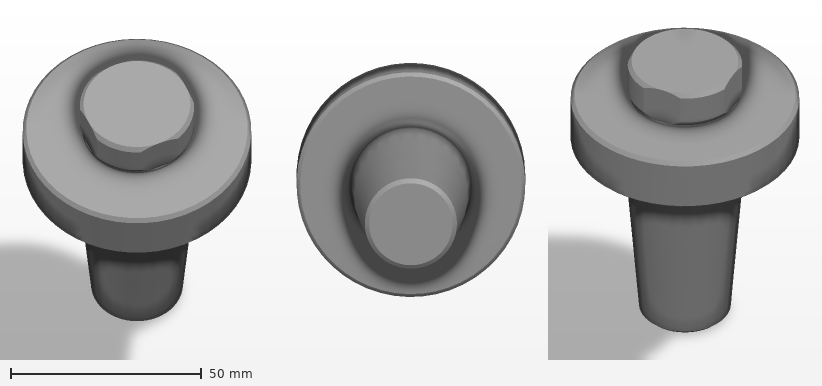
import cadquery as cq

flange_diameter = 60.0
flange_thickness = 15.0
flange_chamfer = 1.0

plug_length = 55.0
plug_top_diameter = 32.0
plug_tip_diameter = 24.1
straight_length = 4.1
plug_fillet = 2.0
tip_chamfer = 1.1

total_height = 81.0
head_across_flats = 28.0
head_corner_diameter = 30.05
head_top_diameter = 28.0
head_top_chamfer = 1.05
foot_diameter = 28.8
neck_diameter = 28.4
neck_height = 0.65
underside_height = 1.45
flats_bottom = 0.5

flange_top = plug_length + flange_thickness
head_height = total_height - flange_top


def make_flanged_plug():
    """Turned flange and tapered plug, revolved about Z from its half profile."""
    flange_radius = flange_diameter / 2
    plug_radius = plug_top_diameter / 2
    tip_radius = plug_tip_diameter / 2
    fillet_centre = (plug_radius + plug_fillet, plug_length - plug_fillet)
    fillet_middle = (
        fillet_centre[0] - plug_fillet * 0.5**0.5,
        fillet_centre[1] + plug_fillet * 0.5**0.5,
    )
    return (
        cq.Workplane("XZ")
        .lineTo(tip_radius - tip_chamfer, 0)
        .lineTo(tip_radius, tip_chamfer)
        .lineTo(plug_radius, plug_length - straight_length)
        .lineTo(plug_radius, plug_length - plug_fillet)
        .threePointArc(fillet_middle, (plug_radius + plug_fillet, plug_length))
        .lineTo(flange_radius - flange_chamfer, plug_length)
        .lineTo(flange_radius, plug_length + flange_chamfer)
        .lineTo(flange_radius, flange_top - flange_chamfer)
        .lineTo(flange_radius - flange_chamfer, flange_top)
        .lineTo(0, flange_top)
        .close()
        .revolve(360, (0, 0, 0), (0, 1, 0))
    )


def make_head():
    """Turned blank with a flared foot, cut to four flats above its foot."""
    corner_radius = head_corner_diameter / 2
    neck_top = flange_top + neck_height
    blank = (
        cq.Workplane("XZ")
        .moveTo(0, flange_top)
        .lineTo(foot_diameter / 2, flange_top)
        .lineTo(neck_diameter / 2, neck_top)
        .lineTo(corner_radius, neck_top + underside_height)
        .lineTo(corner_radius, total_height - head_top_chamfer)
        .lineTo(head_top_diameter / 2, total_height)
        .lineTo(0, total_height)
        .close()
        .revolve(360, (0, 0, 0), (0, 1, 0))
    )
    foot = blank.intersect(
        cq.Workplane("XY", origin=(0, 0, flange_top)).circle(foot_diameter / 2).extrude(flats_bottom)
    )
    square = (
        cq.Workplane("XY", origin=(0, 0, flange_top + flats_bottom))
        .rect(head_across_flats, head_across_flats)
        .extrude(head_height - flats_bottom)
    )
    return blank.intersect(square).union(foot)


flanged_plug = make_flanged_plug()
head = make_head()

result = cq.Compound.makeCompound([flanged_plug.val(), head.val()])